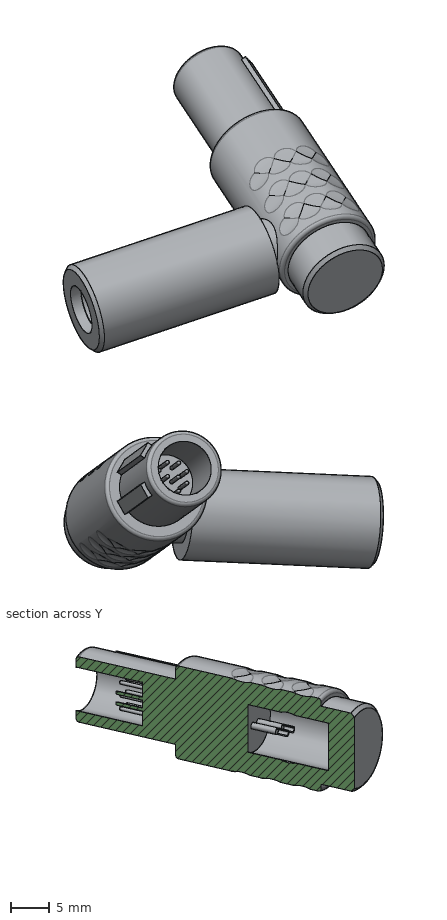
import cadquery as cq
import math

tube_diameter = 10.0
tube_length = 15.0
collar_diameter = 13.7
collar_length = 22.0
cap_diameter = 11.7
cap_length = 5.0
edge_rounding = 0.5
edge_chamfer = 0.5

collar_end = tube_length + collar_length
barrel_length = collar_end + cap_length
collar_radius = collar_diameter / 2

outlet_x = 32.0
outlet_end = 33.2
nut_diameter = 12.0
nut_length = 25.6
neck_diameter = 7.6
mouth_diameter = 6.5
mouth_depth = 1.5
cable_bore_diameter = 7.0

socket_diameter = 7.1
socket_depth = 10.0
cavity_diameter = 7.6
cavity_start = 26.0
cavity_end = 38.0

key_angles = (-30, 30)
key_width = 2.0
key_height = 5.55
key_start = 2.5

ring_pin_count = 8
ring_pin_radius = 2.0
inner_pin_offset = 0.72
pin_diameter = 0.5
pin_tip_x = 6.0
pin_embed = 1.0
cup_diameter = 0.9
cup_bore_diameter = 0.55
cup_end = 31.2
cup_cut_length = 1.5

dimple_depth = 0.187
dimple_half_width = 1.27
dimple_pitch_angle = 2 * math.degrees(math.acos(1 - dimple_depth / collar_radius))
first_column_x = 24.0
column_spacing = 1.0
grip_side_angles = (0, 180)
grip_band_count = 3
grip_band_pitch = 4.55
column_steps = ((-1, 0, 1), (-1.5, -0.5, 0.5, 1.5))


def cylinder_x(diameter, start, end, y=0, z=0):
    """Cylinder along X between two X positions."""
    return cq.Workplane("YZ", origin=(start, y, z)).circle(diameter / 2).extrude(end - start)


def cylinder_outlet(diameter, start, end):
    """Cylinder on the outlet axis between two distances from the barrel axis, toward -Y."""
    return cq.Workplane("XZ", origin=(outlet_x, -start, 0)).circle(diameter / 2).extrude(end - start)


def make_barrel():
    tube = cylinder_x(tube_diameter, 0, tube_length).faces("<X").edges().fillet(edge_rounding)
    collar = cylinder_x(collar_diameter, tube_length, collar_end)
    collar = collar.faces("<X or >X").edges().fillet(edge_rounding)
    cap = cylinder_x(cap_diameter, collar_end, barrel_length).faces(">X").chamfer(edge_chamfer)
    return tube.union(collar).union(cap)


def make_keys():
    key_length = tube_length - key_start
    key_rise = key_height - socket_diameter / 2
    keys = cq.Workplane("XY")
    for angle in key_angles:
        key = cq.Workplane("XY").box(key_length, key_rise, key_width, centered=(False, False, True))
        key = key.translate((key_start, socket_diameter / 2, 0))
        keys = keys.union(key.rotate((0, 0, 0), (1, 0, 0), angle))
    return keys


def make_dimple_cutters():
    cutter_radius = (dimple_half_width**2 + dimple_depth**2) / (2 * dimple_depth)
    cutter_height = collar_radius - dimple_depth + cutter_radius
    cutter = cq.Workplane("XZ").circle(cutter_radius).extrude(collar_radius / 2, both=True)
    cutter = cutter.translate((0, 0, cutter_height))
    cutters = []
    for band in range(grip_band_count):
        for column, steps in enumerate(column_steps):
            x = first_column_x + band * grip_band_pitch + column * column_spacing
            for side_angle in grip_side_angles:
                for step in steps:
                    angle = side_angle + step * dimple_pitch_angle
                    turned = cutter.rotate((0, 0, 0), (1, 0, 0), angle)
                    cutters.append(turned.translate((x, 0, 0)).val())
    return cutters


def make_outlet():
    nut_start = outlet_end - nut_length
    neck = cylinder_outlet(neck_diameter, 0, nut_start)
    nut = cylinder_outlet(nut_diameter, nut_start, outlet_end).faces("<Y").chamfer(edge_chamfer)
    return neck.union(nut)


def make_outlet_bore():
    mouth_start = outlet_end - mouth_depth
    cable_bore = cylinder_outlet(cable_bore_diameter, 0, mouth_start)
    return cable_bore.union(cylinder_outlet(mouth_diameter, mouth_start, outlet_end))


def make_pin(y, z):
    """Pin with a domed tip standing out of the insulator into the socket."""
    pin = cylinder_x(pin_diameter, pin_tip_x + pin_diameter / 2, socket_depth + pin_embed, y, z)
    dome = cq.Workplane("XY").sphere(pin_diameter / 2).translate((pin_tip_x + pin_diameter / 2, y, z))
    return pin.union(dome)


def make_solder_cup(y):
    """Tail of an inner pin: its hollow end is cut open toward -Y."""
    cut_start = cup_end - cup_cut_length
    cup = cylinder_x(cup_diameter, cavity_start - pin_embed, cup_end, y)
    cup = cup.cut(cylinder_x(cup_bore_diameter, cut_start, cup_end, y))
    opening = cq.Workplane("XY").box(
        cup_cut_length, cup_diameter, cup_diameter, centered=(False, False, True)
    )
    return cup.cut(opening.translate((cut_start, y - cup_diameter, 0)))


barrel = make_barrel().union(make_keys())
barrel = cq.Workplane(barrel.val().cut(*make_dimple_cutters()))

shell = barrel.union(make_outlet())
shell = shell.cut(cylinder_x(socket_diameter, 0, socket_depth))
shell = shell.cut(cylinder_x(cavity_diameter, cavity_start, cavity_end))
result = shell.cut(make_outlet_bore())

for index in range(ring_pin_count):
    pin_angle = 2 * math.pi * (index + 0.5) / ring_pin_count
    ring_y = ring_pin_radius * math.cos(pin_angle)
    ring_z = ring_pin_radius * math.sin(pin_angle)
    result = result.union(make_pin(ring_y, ring_z))

for inner_y in (-inner_pin_offset, inner_pin_offset):
    result = result.union(make_pin(inner_y, 0)).union(make_solder_cup(inner_y))